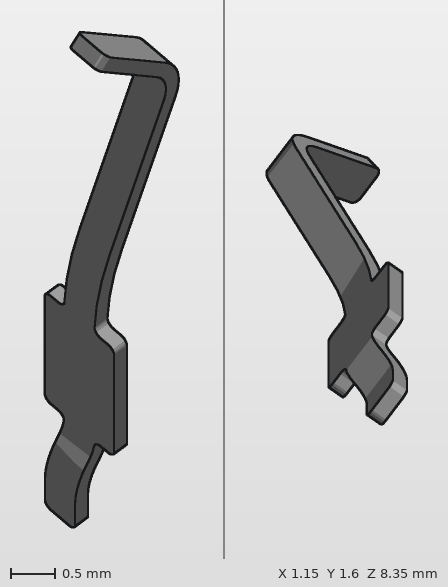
import cadquery as cq
import math

height = 8.35
thickness = 0.2
strip_width = 0.5
corner_radius = 0.1

plate_width = 1.15
plate_bottom = 1.395
plate_height = 2.0
plate_top = plate_bottom + plate_height

foot_radius = 0.9
joggle_radius = 0.6
spring_radius = 3.315
elbow_radius = 0.6

joggle_lean = 35.0
spring_lean = 21.5
tip_lean = -45.0
foot_offset = 0.3
spring_length = 2.27


def sin(angle):
    return math.sin(math.radians(angle))


def cos(angle):
    return math.cos(math.radians(angle))


joggle_bend_radii = foot_radius + joggle_radius
joggle_length = (foot_offset - joggle_bend_radii * (1 - cos(joggle_lean))) / sin(joggle_lean)
foot_length = plate_bottom - joggle_bend_radii * sin(joggle_lean) - joggle_length * cos(joggle_lean)
elbow_top = (
    plate_top
    + spring_radius * sin(spring_lean)
    + spring_length * cos(spring_lean)
    + elbow_radius * (sin(spring_lean) - sin(tip_lean))
)
tip_rise = thickness / 2 * abs(sin(tip_lean))
tip_length = (height - tip_rise - elbow_top) / cos(tip_lean)


def sheet_point(middle, lean, side):
    """Point on one sheet face; side is +1 for the back and -1 for the front."""
    y, z = middle
    shift = side * thickness / 2
    return (y + shift * cos(lean), z - shift * sin(lean))


def straight(start, lean, length):
    """One straight length of sheet as a YZ outline."""
    end = (start[0] + length * sin(lean), start[1] + length * cos(lean))
    outline = (
        cq.Workplane("YZ")
        .moveTo(*sheet_point(start, lean, 1))
        .lineTo(*sheet_point(end, lean, 1))
        .lineTo(*sheet_point(end, lean, -1))
        .lineTo(*sheet_point(start, lean, -1))
        .close()
    )
    return outline, end


def bend(start, lean, new_lean, radius):
    """One circular bend of the sheet as a YZ outline."""
    turn = 1 if new_lean > lean else -1
    center = (start[0] + turn * radius * cos(lean), start[1] - turn * radius * sin(lean))

    def middle_at(angle):
        return (center[0] - turn * radius * cos(angle), center[1] + turn * radius * sin(angle))

    mid_lean = (lean + new_lean) / 2
    mid = middle_at(mid_lean)
    end = middle_at(new_lean)
    outline = (
        cq.Workplane("YZ")
        .moveTo(*sheet_point(start, lean, 1))
        .threePointArc(sheet_point(mid, mid_lean, 1), sheet_point(end, new_lean, 1))
        .lineTo(*sheet_point(end, new_lean, -1))
        .threePointArc(sheet_point(mid, mid_lean, -1), sheet_point(start, lean, -1))
        .close()
    )
    return outline, end


def make_lower_sheet():
    """Foot, joggle and plate at full plate width, with the middle of the plate top."""
    foot, point = straight((-foot_offset, 0), 0, foot_length)
    foot_bend, point = bend(point, 0, joggle_lean, foot_radius)
    joggle, point = straight(point, joggle_lean, joggle_length)
    joggle_bend, point = bend(point, joggle_lean, 0, joggle_radius)
    plate, point = straight(point, 0, plate_height)
    sheet = foot.extrude(plate_width / 2, both=True)
    for piece in (foot_bend, joggle, joggle_bend, plate):
        sheet = sheet.union(piece.extrude(plate_width / 2, both=True))
    return sheet, point


def make_upper_sheet(point):
    """Spring arm and elbow, starting from the middle of the plate top."""
    spring_bend, point = bend(point, 0, spring_lean, spring_radius)
    spring, point = straight(point, spring_lean, spring_length)
    elbow, point = bend(point, spring_lean, tip_lean, elbow_radius)
    sheet = spring_bend.extrude(plate_width / 2, both=True)
    for piece in (spring, elbow):
        sheet = sheet.union(piece.extrude(plate_width / 2, both=True))
    return sheet, point


def make_tip(point):
    """Straight tip with its two end corners rounded through the sheet."""
    outline, _ = straight(point, tip_lean, tip_length)
    tip = outline.extrude(strip_width / 2, both=True)
    end_direction = cq.Vector(0, sin(tip_lean), cos(tip_lean))
    end_face = tip.faces(cq.selectors.DirectionMinMaxSelector(end_direction))
    return end_face.edges("not(|X)").fillet(corner_radius)


def make_front_outline():
    """Narrow strip crossed by the plate, seen along Y."""
    depth = height
    strip = cq.Workplane("XY").box(strip_width, depth, height, centered=(True, True, False))
    strip = strip.faces("<Z").edges("|Y").fillet(corner_radius)
    plate = (
        cq.Workplane("XY")
        .workplane(offset=plate_bottom)
        .box(plate_width, depth, plate_height, centered=(True, True, False))
        .edges("|Y")
        .fillet(corner_radius)
    )
    neck_reach = strip_width / 2 + corner_radius / 2
    neck_corners = cq.selectors.BoxSelector(
        (-neck_reach, -depth, plate_bottom - corner_radius),
        (neck_reach, depth, plate_top + corner_radius),
    )
    return strip.union(plate).edges("|Y").edges(neck_corners).fillet(corner_radius)


lower_sheet, plate_top_point = make_lower_sheet()
upper_sheet, elbow_end = make_upper_sheet(plate_top_point)
body = lower_sheet.union(upper_sheet).intersect(make_front_outline())
result = body.union(make_tip(elbow_end))